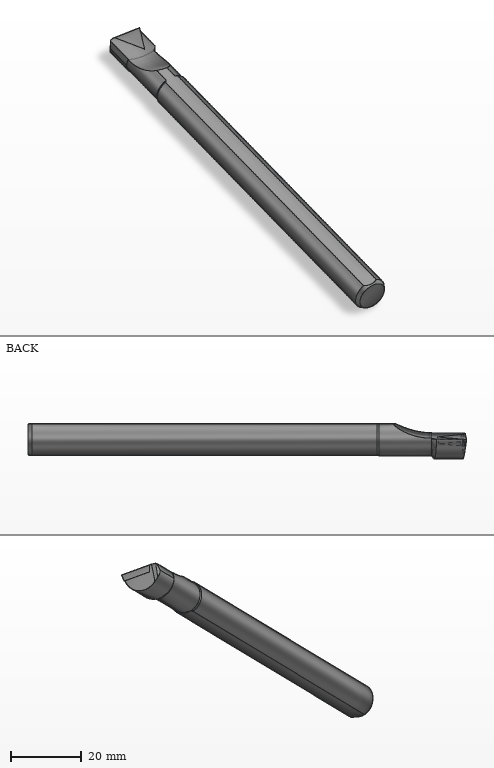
import cadquery as cq
import math

TOTAL_LENGTH = 125.0
NECK_START = 10.0
SHANK_START = 25.0

SHANK_RADIUS = 5.0
FLAT_HEIGHT = 4.5
NECK_RADIUS = 4.7
SHOULDER_LENGTH = 0.5
REAR_CHAMFER_LENGTH = 1.1
REAR_CHAMFER_DEPTH = 0.7

HEAD_RADIUS = 5.5
HEAD_OFFSET = 0.6
HEAD_WALL_LEAN = 20.0
HEAD_CONE_RADIUS = 7.5

TIP_Y = 6.7
RAKE_ANGLE = 10.0
RELIEF_ANGLE = 7.0

INNER_X = 8.4
INNER_Y = 2.6
FRONT_X = 0.4
FRONT_Y = -2.2
INSERT_THICKNESS = 2.0

BEVEL_START_Y = -2.9
BEVEL_MIDDLE_X = 0.9
BEVEL_MIDDLE_Y = -4.0
BEVEL_END_X = 2.0
BEVEL_END_Y = -4.9

POCKET_FLOOR_RADIUS = 15.0
POCKET_FLOOR_END = 10.7
POCKET_RIM_RADIUS = 16.9
POCKET_HEIGHT = 7.5

CLEARANCE = 12.5

RAKE_COSINE = math.cos(math.radians(RAKE_ANGLE))
RAKE_SINE = math.sin(math.radians(RAKE_ANGLE))


def rake_plane():
    """Plane of the rake face, with its origin level with the cutting tip in Y and Z."""
    return cq.Plane(origin=(0, TIP_Y, 0), xDir=(1, 0, 0), normal=(0, RAKE_SINE, RAKE_COSINE))


def on_rake(x, y):
    """Point of the rake face that lies above plan position (x, y)."""
    return (x, (y - TIP_Y) / RAKE_COSINE)


def relieved_block(plan_points, depth):
    """Block below the rake face whose flanks lean inward by the relief angle."""
    points = [on_rake(x, y) for x, y in plan_points]
    return cq.Workplane(rake_plane()).polyline(points).close().extrude(-depth, taper=RELIEF_ANGLE)


def make_insert():
    return relieved_block([(0, TIP_Y), (INNER_X, INNER_Y), (FRONT_X, FRONT_Y)], INSERT_THICKNESS)


def make_shaft():
    """Neck and shank turned in one piece, then flattened."""
    shaft = (
        cq.Workplane("XY")
        .moveTo(NECK_START, 0)
        .lineTo(NECK_START, NECK_RADIUS)
        .lineTo(SHANK_START, NECK_RADIUS)
        .lineTo(SHANK_START + SHOULDER_LENGTH, SHANK_RADIUS)
        .lineTo(TOTAL_LENGTH - REAR_CHAMFER_LENGTH, SHANK_RADIUS)
        .lineTo(TOTAL_LENGTH, SHANK_RADIUS - REAR_CHAMFER_DEPTH)
        .lineTo(TOTAL_LENGTH, 0)
        .close()
        .revolve(360, (0, 0, 0), (1, 0, 0))
    )
    top_flat = (
        cq.Workplane("XY")
        .box(TOTAL_LENGTH, 2 * CLEARANCE, CLEARANCE, centered=(False, True, False))
        .translate((0, 0, FLAT_HEIGHT))
    )
    bottom_flat = (
        cq.Workplane("XY")
        .box(TOTAL_LENGTH, 2 * CLEARANCE, CLEARANCE, centered=(False, True, False))
        .translate((SHANK_START, 0, -FLAT_HEIGHT - CLEARANCE))
    )
    return shaft.cut(top_flat).cut(bottom_flat)


def make_head():
    """Head below the rake face, with relieved front flanks and a conical rear."""
    right_side = HEAD_OFFSET - HEAD_RADIUS
    left_side = HEAD_OFFSET + HEAD_RADIUS
    wall_shift = HEAD_RADIUS * math.tan(math.radians(HEAD_WALL_LEAN))
    section = (
        cq.Workplane("YZ")
        .moveTo(right_side, 0)
        .threePointArc((HEAD_OFFSET, -HEAD_RADIUS), (left_side, 0))
        .lineTo(left_side, HEAD_RADIUS)
        .lineTo(right_side + wall_shift, HEAD_RADIUS)
        .close()
        .extrude(NECK_START)
    )

    front_slope = FRONT_X / (TIP_Y - FRONT_Y)
    bevel_slope = (BEVEL_END_X - BEVEL_MIDDLE_X) / (BEVEL_MIDDLE_Y - BEVEL_END_Y)
    front_flanks = relieved_block(
        [
            (-front_slope * CLEARANCE, TIP_Y + CLEARANCE),
            (front_slope * (TIP_Y - BEVEL_START_Y), BEVEL_START_Y),
            (BEVEL_MIDDLE_X, BEVEL_MIDDLE_Y),
            (BEVEL_END_X + bevel_slope * CLEARANCE, BEVEL_END_Y - CLEARANCE),
            (2 * CLEARANCE, BEVEL_END_Y - CLEARANCE),
            (2 * CLEARANCE, TIP_Y + CLEARANCE),
        ],
        CLEARANCE,
    )

    cone_length = HEAD_CONE_RADIUS - NECK_RADIUS
    rear_cone = (
        cq.Workplane("XY")
        .moveTo(0, 0)
        .lineTo(0, HEAD_CONE_RADIUS)
        .lineTo(NECK_START - cone_length, HEAD_CONE_RADIUS)
        .lineTo(NECK_START, NECK_RADIUS)
        .lineTo(NECK_START, 0)
        .close()
        .revolve(360, (0, 0, 0), (1, 0, 0))
    )
    return section.intersect(front_flanks).intersect(rear_cone)


def make_chip_pocket():
    """Space above the rake face: a round floor with a concave rim curving up to the neck."""
    rise_angle = math.acos(1 - POCKET_HEIGHT / POCKET_RIM_RADIUS)

    def rim_point(angle):
        return (
            POCKET_FLOOR_RADIUS + POCKET_RIM_RADIUS * math.sin(angle),
            POCKET_RIM_RADIUS * (1 - math.cos(angle)),
        )

    centre_on_rake = on_rake(POCKET_FLOOR_END - POCKET_FLOOR_RADIUS, 0)
    centre = rake_plane().toWorldCoords(centre_on_rake)
    profile_plane = cq.Plane(origin=centre, xDir=(1, 0, 0), normal=(0, -RAKE_COSINE, RAKE_SINE))
    return (
        cq.Workplane(profile_plane)
        .moveTo(0, 0)
        .lineTo(POCKET_FLOOR_RADIUS, 0)
        .threePointArc(rim_point(rise_angle / 2), rim_point(rise_angle))
        .lineTo(0, POCKET_HEIGHT)
        .close()
        .revolve(360, (0, 0, 0), (0, 1, 0))
    )


insert = make_insert()
holder = make_shaft().union(make_head()).cut(make_chip_pocket()).cut(insert)

result = cq.Compound.makeCompound([holder.solids().val(), insert.solids().val()])